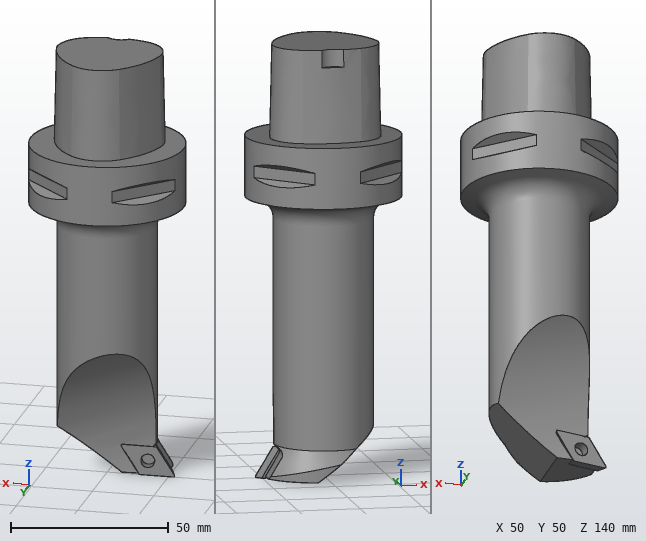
import cadquery as cq
import math


LOBES = 3
lobe_reach = 18.65
flank_reach = 16.35
flank_arc_offset = 13.0
taper_length = 30.0
taper_inset = 0.65

notch_radius = 5.0
notch_floor_y = -14.1
notch_depth = 5.6

flange_diameter = 50.0
flange_height = 19.6
neck_cone_angle = 15.0
neck_radius = 6.0

SLOTS = 4
slot_floor_distance = 22.1
slot_floor_top_z = -8.05
slot_floor_bottom_z = -11.75
slot_top_wall_angle = 30.0
slot_bottom_wall_angle = 27.0

bar_diameter = 32.0
head_top_z = -99.25
tip_x = -22.0
tip_z = -110.0
head_cone_angle = 30.0
head_radius = 20.0
head_axis_y = 1.3
end_face_z = -109.0
heel_start_z = -93.2
heel_angle = 36.6

flute_radius = 51.1
flute_axis_point = (0.0, 53.65, -104.5)
flute_direction = (1.0, 0.124, -0.3)

insert_edge = 11.63
insert_angle = 55.0
insert_thickness = 3.97
insert_clearance = 7.0
insert_nose_radius = 0.4
insert_hole_diameter = 4.4
end_edge_angle = 3.0
tip_y = 0.1
rake_slope_x = 0.16
rake_slope_z = -0.045

relief_top_x = -15.15
relief_top_z = -102.1
relief_runout_radius = 1.9

CUT_MARGIN = 30.0

bar_radius = bar_diameter / 2
flange_radius = flange_diameter / 2


def polar(distance, degrees):
    angle = math.radians(degrees)
    return cq.Vector(distance * math.cos(angle), distance * math.sin(angle), 0)


reach_difference = lobe_reach - flank_reach
lobe_arc_offset = (
    reach_difference * (2 * flank_arc_offset - reach_difference)
    / (flank_arc_offset - 2 * reach_difference)
)


def polygon_wire(inset, z):
    """Closed lobed outline, moved inwards by `inset`, at height `z`."""
    lobe_arc_radius = lobe_reach - lobe_arc_offset - inset
    up = cq.Vector(0, 0, z)
    pitch = 360.0 / LOBES
    edges = []
    for i in range(LOBES):
        lobe_angle = 90.0 + i * pitch
        flank_angle = lobe_angle + pitch / 2
        lobe_centre = polar(lobe_arc_offset, lobe_angle)
        next_lobe_centre = polar(lobe_arc_offset, lobe_angle + pitch)
        before_centre = polar(-flank_arc_offset, lobe_angle - pitch / 2)
        after_centre = polar(-flank_arc_offset, flank_angle)

        lobe_start = lobe_centre + (lobe_centre - before_centre).normalized() * lobe_arc_radius
        lobe_tip = polar(lobe_reach - inset, lobe_angle)
        lobe_end = lobe_centre + (lobe_centre - after_centre).normalized() * lobe_arc_radius
        flank_mid = polar(flank_reach - inset, flank_angle)
        flank_end = next_lobe_centre + (next_lobe_centre - after_centre).normalized() * lobe_arc_radius

        edges.append(cq.Edge.makeThreePointArc(lobe_start + up, lobe_tip + up, lobe_end + up))
        edges.append(cq.Edge.makeThreePointArc(lobe_end + up, flank_mid + up, flank_end + up))
    return cq.Wire.assembleEdges(edges)


def make_taper_shank():
    base = polygon_wire(0.0, 0.0)
    top = polygon_wire(taper_inset, taper_length)
    shank = cq.Workplane(obj=cq.Solid.makeLoft([base, top], True))
    notch = (
        cq.Workplane("XY", origin=(0, notch_floor_y - notch_radius, taper_length - notch_depth))
        .circle(notch_radius)
        .extrude(notch_depth)
    )
    return shank.cut(notch)


def make_turned_bar():
    """Flange, neck, bar and flared head as one revolved profile."""
    cone = math.radians(neck_cone_angle)
    arc_centre_x = bar_radius + neck_radius
    arc_top_x = arc_centre_x - neck_radius * math.sin(cone)
    arc_top_z = -flange_height - (flange_radius - arc_top_x) * math.tan(cone)
    arc_centre_z = arc_top_z - neck_radius * math.cos(cone)
    mid_angle = (math.pi / 2 - cone) / 2
    arc_mid = (
        arc_centre_x - neck_radius * math.cos(mid_angle),
        arc_centre_z + neck_radius * math.sin(mid_angle),
    )
    flare = (head_top_z - tip_z) * math.tan(math.radians(head_cone_angle))
    return (
        cq.Workplane("XZ")
        .moveTo(0, 0)
        .lineTo(flange_radius, 0)
        .lineTo(flange_radius, -flange_height)
        .lineTo(arc_top_x, arc_top_z)
        .threePointArc(arc_mid, (bar_radius, arc_centre_z))
        .lineTo(bar_radius, head_top_z)
        .lineTo(bar_radius + flare, tip_z)
        .lineTo(0, tip_z)
        .close()
        .revolve(360, (0, 0), (0, 1))
    )


def make_gripper_slots():
    """Trapezoidal slots, each cut square to its own radial direction."""
    depth = flange_radius - slot_floor_distance
    mouth_top_z = slot_floor_top_z + depth * math.tan(math.radians(slot_top_wall_angle))
    mouth_bottom_z = slot_floor_bottom_z - depth * math.tan(math.radians(slot_bottom_wall_angle))
    slot = (
        cq.Workplane("XZ")
        .polyline([
            (slot_floor_distance, slot_floor_bottom_z),
            (flange_radius, mouth_bottom_z),
            (flange_radius, mouth_top_z),
            (slot_floor_distance, slot_floor_top_z),
        ])
        .close()
        .extrude(flange_radius, both=True)
    )
    pitch = 360.0 / SLOTS
    return [slot.rotate((0, 0, 0), (0, 0, 1), (i + 0.5) * pitch) for i in range(SLOTS)]


def make_head_waste():
    """Material outside the eccentric head cylinder."""
    height = head_top_z - tip_z
    head_axis_x = tip_x + head_radius
    return (
        cq.Workplane("XY", origin=(0, 0, tip_z))
        .circle(flange_diameter)
        .extrude(height)
        .cut(
            cq.Workplane("XY", origin=(head_axis_x, head_axis_y, tip_z))
            .circle(head_radius)
            .extrude(height)
        )
    )


def make_end_waste():
    """Everything below the level end face and the sloped heel."""
    heel_slope = math.tan(math.radians(heel_angle))
    left_x = tip_x - CUT_MARGIN
    right_x = bar_radius + CUT_MARGIN
    bottom_z = tip_z - CUT_MARGIN
    heel_end_x = bar_radius - (heel_start_z - end_face_z) / heel_slope
    return (
        cq.Workplane("XZ")
        .polyline([
            (left_x, end_face_z),
            (heel_end_x, end_face_z),
            (right_x, heel_start_z + heel_slope * (right_x - bar_radius)),
            (right_x, bottom_z),
            (left_x, bottom_z),
        ])
        .close()
        .extrude(CUT_MARGIN, both=True)
    )


def make_flute():
    plane = cq.Plane(origin=flute_axis_point, normal=flute_direction)
    return cq.Workplane(plane).circle(flute_radius).extrude(2 * CUT_MARGIN, both=True)


def rake_direction(degrees):
    """Unit direction in the rake face whose slope in XZ is `degrees` above X."""
    run = math.cos(math.radians(degrees))
    rise = math.sin(math.radians(degrees))
    return cq.Vector(run, rake_slope_x * run + rake_slope_z * rise, rise).normalized()


seat_direction = cq.Vector(rake_slope_x, -1, rake_slope_z).normalized()

nose_setback = insert_nose_radius / math.sin(math.radians(insert_angle / 2))
nose_centre = cq.Vector(tip_x + insert_nose_radius, tip_y, tip_z + insert_nose_radius)
insert_corner = nose_centre - rake_direction(end_edge_angle + insert_angle / 2) * nose_setback


def make_insert_blank():
    """Insert without its hole, in place."""
    angle = math.radians(insert_angle)
    run = insert_edge * math.cos(angle)
    rise = insert_edge * math.sin(angle)
    plane = cq.Plane(origin=insert_corner, xDir=rake_direction(end_edge_angle), normal=seat_direction)
    blank = (
        cq.Workplane("XY")
        .polyline([(0, 0), (insert_edge, 0), (insert_edge + run, rise), (run, rise)])
        .close()
        .extrude(insert_thickness, taper=insert_clearance)
        .edges("not #Z")
        .fillet(insert_nose_radius)
    )
    return cq.Workplane(obj=blank.val().moved(plane.location))


def make_insert():
    half_diagonal = insert_edge * math.cos(math.radians(insert_angle / 2))
    centre = insert_corner + rake_direction(end_edge_angle + insert_angle / 2) * half_diagonal
    hole = (
        cq.Workplane(cq.Plane(origin=centre, normal=seat_direction))
        .circle(insert_hole_diameter / 2)
        .extrude(insert_thickness)
    )
    return make_insert_blank().cut(hole)


def make_insert_pocket():
    """Seat of the insert, left open above the rake face."""
    blank = make_insert_blank()
    rake_face = blank.faces(cq.selectors.DirectionMinMaxSelector(seat_direction, False)).val()
    opening = cq.Solid.extrudeLinear(rake_face.outerWire(), [], seat_direction * -insert_thickness)
    return blank.union(cq.Workplane(obj=opening))


def make_relief():
    """Facet parallel to Y beside the side cutting edge, running out upwards in an arc."""
    lean = math.radians(90 - end_edge_angle - insert_angle)
    edge_direction = cq.Vector(math.sin(lean), 0, math.cos(lean))
    plane = cq.Plane(origin=(relief_top_x, 0, relief_top_z), xDir=edge_direction, normal=(0, -1, 0))
    arc_mid = (
        relief_runout_radius * math.sin(math.pi / 4),
        relief_runout_radius * (1 - math.cos(math.pi / 4)),
    )
    return (
        cq.Workplane(plane)
        .moveTo(-CUT_MARGIN, 0)
        .lineTo(0, 0)
        .threePointArc(arc_mid, (relief_runout_radius, relief_runout_radius))
        .lineTo(relief_runout_radius, CUT_MARGIN)
        .lineTo(-CUT_MARGIN, CUT_MARGIN)
        .close()
        .extrude(CUT_MARGIN, both=True)
    )


def make_holder():
    holder = make_turned_bar().union(make_taper_shank())
    for slot in make_gripper_slots():
        holder = holder.cut(slot)
    for waste in (make_head_waste(), make_end_waste(), make_flute(), make_relief()):
        holder = holder.cut(waste)
    return holder.cut(make_insert_pocket())


holder = make_holder()
insert = make_insert()

result = cq.Compound.makeCompound([holder.val(), insert.val()])